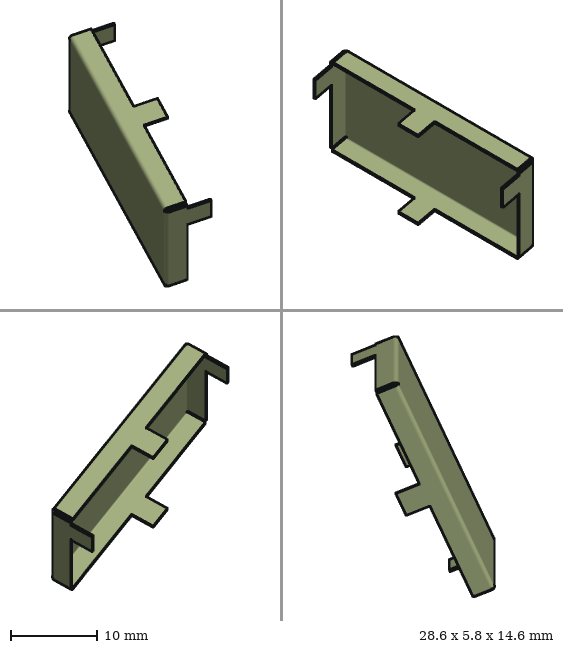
import cadquery as cq
import math

OVERALL_LENGTH = 28.6
HEIGHT = 14.6
WALL_DEPTH = 2.8
SHEET = 0.3
BEND_RADIUS = 0.5

TAB_LENGTH = 3.0
TAB_WIDTH = 3.0
END_TAB_DROP = 0.8
TAB_SPLAY = 0.08

LENGTH = OVERALL_LENGTH - TAB_LENGTH * math.tan(math.radians(TAB_SPLAY))
HALF_LENGTH = LENGTH / 2
HALF_HEIGHT = HEIGHT / 2

LONG_WALL_START = -HALF_LENGTH + SHEET
TOP_WALL_END = HALF_LENGTH - BEND_RADIUS
BOTTOM_WALL_END = HALF_LENGTH - SHEET
END_WALL_START = -HALF_HEIGHT + BEND_RADIUS
LEFT_WALL_END = HALF_HEIGHT - BEND_RADIUS
RIGHT_WALL_END = HALF_HEIGHT - SHEET

LONG_WALL_TAB_START = -TAB_WIDTH / 2
END_WALL_TAB_START = HALF_HEIGHT - END_TAB_DROP - TAB_WIDTH


def folded_wall(outer_face, start, end):
    """Wall with its fold, its outer face at X = outer_face, running along Z from start to end."""
    inner_face = outer_face - SHEET
    bend_center = outer_face - BEND_RADIUS
    inner_radius = BEND_RADIUS - SHEET
    half_way = math.sqrt(0.5)
    outer_middle = (bend_center + BEND_RADIUS * half_way, BEND_RADIUS * (1 - half_way))
    inner_middle = (bend_center + inner_radius * half_way, BEND_RADIUS - inner_radius * half_way)
    return (
        cq.Workplane("XY", origin=(0, 0, start))
        .moveTo(bend_center, 0)
        .threePointArc(outer_middle, (outer_face, BEND_RADIUS))
        .lineTo(outer_face, WALL_DEPTH)
        .lineTo(inner_face, WALL_DEPTH)
        .lineTo(inner_face, BEND_RADIUS)
        .threePointArc(inner_middle, (bend_center, SHEET))
        .close()
        .extrude(end - start)
    )


def wall_tab(outer_face, start, splay=0):
    """Flat tab past the rim of a folded_wall, leaning outward by splay degrees about the inner rim edge."""
    inner_face = outer_face - SHEET
    tab = (
        cq.Workplane("XY")
        .box(SHEET, TAB_LENGTH, TAB_WIDTH, centered=False)
        .translate((inner_face, WALL_DEPTH, start))
    )
    return tab.rotate((inner_face, WALL_DEPTH, 0), (inner_face, WALL_DEPTH, 1), -splay)


def turn_to_top(wall):
    """Swap X and Z, so a wall on the +X side lies on top and runs along X."""
    return wall.rotate((0, 0, 0), (0, 1, 0), -90).mirror("YZ")


def front_plate():
    """Flat front between the four bend lines."""
    plate_length = LENGTH - 2 * BEND_RADIUS
    plate_height = HEIGHT - 2 * BEND_RADIUS
    return cq.Workplane("XY").box(plate_length, SHEET, plate_height, centered=(True, False, True))


def long_wall(end):
    """Top wall with its centered tab."""
    wall = folded_wall(HALF_HEIGHT, LONG_WALL_START, end)
    return turn_to_top(wall.union(wall_tab(HALF_HEIGHT, LONG_WALL_TAB_START)))


def end_wall(end, splay=0):
    """+X wall with its tab near the top."""
    wall = folded_wall(HALF_LENGTH, END_WALL_START, end)
    return wall.union(wall_tab(HALF_LENGTH, END_WALL_TAB_START, splay))


top_wall = long_wall(TOP_WALL_END)
bottom_wall = long_wall(BOTTOM_WALL_END).mirror("XY")
left_wall = end_wall(LEFT_WALL_END).mirror("YZ")
right_wall = end_wall(RIGHT_WALL_END, TAB_SPLAY)

result = front_plate()
for side in (top_wall, bottom_wall, left_wall, right_wall):
    result = result.union(side)